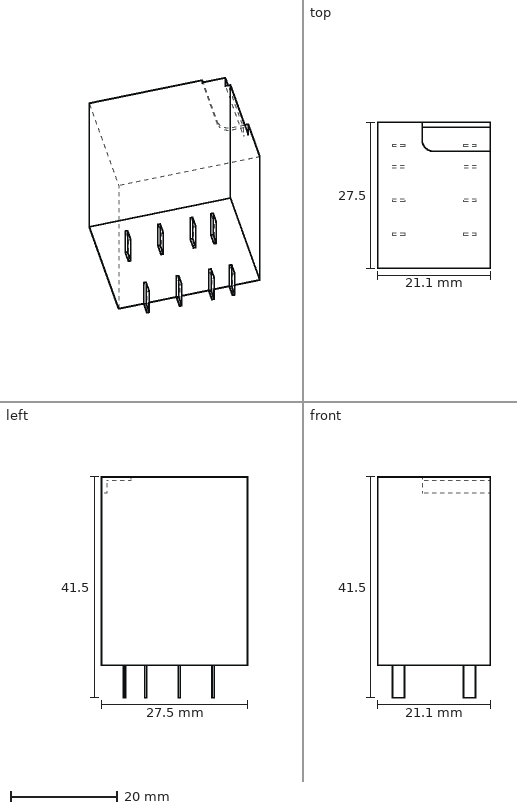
import cadquery as cq

width = 21.15
depth = 27.5
total_height = 41.5

pin_length = 6.1
base_thickness = 1.6
pin_width = 2.3
pin_thickness = 0.45
pin_row_spacing = 13.3
pin_y_positions = (-7.25, -0.9, 5.4, 9.4)

recess_start_x = -2.25
recess_length_y = 5.5
recess_depth = 0.65
recess_corner_radius = 2.2
step_length_y = 1.0
step_depth = 3.0

body_height = total_height - pin_length
cover_height = body_height - base_thickness
right_x = width / 2
back_y = depth / 2


def make_base():
    """Flat plate that carries the pins."""
    return cq.Workplane("XY").rect(width, depth).extrude(base_thickness)


def make_cover():
    """Solid block standing on the base plate, flush with it on all sides."""
    return (
        cq.Workplane("XY")
        .box(width, depth, cover_height, centered=(True, False, False))
        .translate((0, -back_y, base_thickness))
    )


def make_corner_cutter(length_y, cut_depth):
    """Block that removes the top back right corner, from the recess's left wall outward."""
    size_x = right_x - recess_start_x
    return (
        cq.Workplane("XY")
        .box(size_x, length_y, cut_depth, centered=False)
        .translate((recess_start_x, back_y - length_y, body_height - cut_depth))
    )


def make_recess():
    """Shallow recess with a rounded inner corner, dropping to a deeper step along the back."""
    floor_cut = make_corner_cutter(recess_length_y, recess_depth)
    floor_cut = floor_cut.edges("|Z and <X and <Y").fillet(recess_corner_radius)
    step_cut = make_corner_cutter(step_length_y, step_depth)
    return floor_cut.union(step_cut)


def make_pins():
    """Two rows of flat blade pins hanging below the base plate."""
    pin_x_positions = (-pin_row_spacing / 2, pin_row_spacing / 2)
    centers = [(x, y) for x in pin_x_positions for y in pin_y_positions]
    return cq.Workplane("XY").pushPoints(centers).rect(pin_width, pin_thickness).extrude(-pin_length)


cover = make_cover().cut(make_recess())
result = make_base().union(cover, clean=False).union(make_pins(), clean=False)